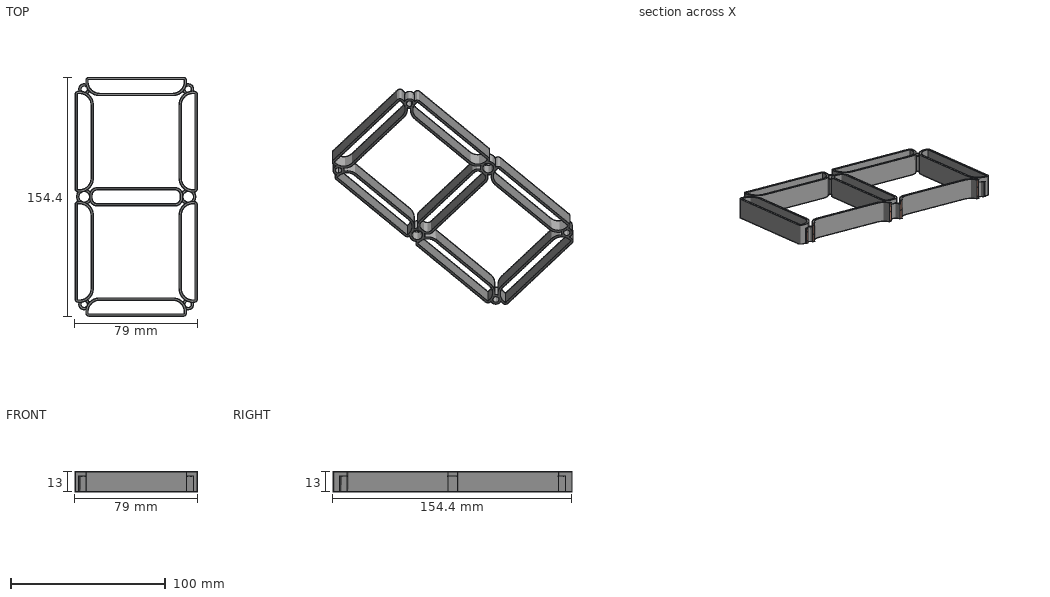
import cadquery as cq

width = 79.0
length = 154.4
height = 13.0

wall = 1.5
tray_width = 11.9
outer_tray_length = 65.2
middle_tray_length = 59.9
outer_corner_radius = 2.2
window_corner_radius = 9.0
middle_corner_radius = 4.8

post_height = 10.2
corner_hole_diameter = 4.0
middle_hole_diameter = 6.8
corner_post_y = 69.5

side_x = (width - tray_width) / 2
end_y = (length - tray_width) / 2
side_y = end_y / 2


def tray_block(block_length, block_width):
    return cq.Workplane("XY").box(block_length, block_width, height, centered=(True, True, False))


def tray_outside(tray_length):
    return tray_block(tray_length, tray_width)


def tray_cavity(tray_length):
    return tray_block(tray_length - 2 * wall, tray_width - 2 * wall)


def outer_tray():
    """Body and cavity of a border tray along X, with its outer face on the +Y side."""
    body = tray_outside(outer_tray_length)
    body = body.edges("|Z and >Y").fillet(outer_corner_radius)
    body = body.edges("|Z and <Y").fillet(window_corner_radius)
    cavity = tray_cavity(outer_tray_length)
    cavity = cavity.edges("|Z and <Y").fillet(window_corner_radius - wall)
    return body, cavity


def middle_tray():
    """Body and cavity of the crossbar tray along X."""
    body = tray_outside(middle_tray_length).edges("|Z").fillet(middle_corner_radius)
    cavity = tray_cavity(middle_tray_length).edges("|Z").fillet(middle_corner_radius - wall)
    return body, cavity


def place(shape, x, y, turn):
    return shape.rotate((0, 0, 0), (0, 0, 1), turn).translate((x, y, 0))


def post(x, y, hole_diameter):
    ring = cq.Workplane("XY").circle(hole_diameter / 2 + wall).circle(hole_diameter / 2)
    return ring.extrude(post_height).translate((x, y, 0))


outer_tray_places = [(0, end_y, 0), (0, -end_y, 180)]
for y in (-side_y, side_y):
    outer_tray_places += [(-side_x, y, 90), (side_x, y, -90)]

trays = [middle_tray()]
for x, y, turn in outer_tray_places:
    trays.append([place(shape, x, y, turn) for shape in outer_tray()])

posts = []
for x in (-side_x, side_x):
    posts.append(post(x, 0, middle_hole_diameter))
    for y in (-corner_post_y, corner_post_y):
        posts.append(post(x, y, corner_hole_diameter))

result = cq.Workplane("XY")
for body, _ in trays:
    result = result.union(body)
for ring in posts:
    result = result.union(ring)
for _, cavity in trays:
    result = result.cut(cavity)